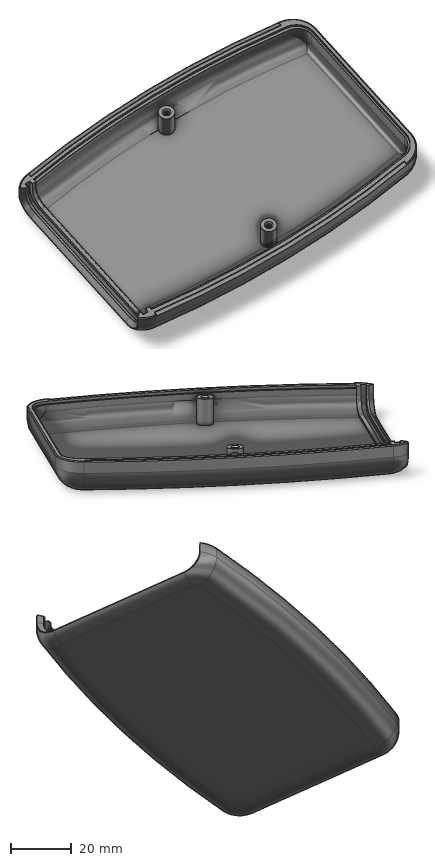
import cadquery as cq
import math

half_width = 39.5
height = 12.0
back_y = 59.9
front_y = back_y - 117.2

side_radius = 352.9
bow_end_y = 51.3
corner_radius = 9.4
bottom_radius = 7.7
rim_chamfer = 0.4

floor_z = 2.8
side_wall = 4.0
back_wall = 2.2
side_cove_radius = 6.0
back_cove_radius = 2.3
cavity_corner_radius = 5.9
cavity_front_y = -bow_end_y

ledge_depth = 0.9
ledge_side_wall = 2.9
ledge_back_wall = 1.5
ledge_corner_radius = 7.0

band_width = 1.5
band_drop = rim_chamfer

opening_half_width = 31.4
opening_z = 3.5
opening_radius = 5.2
bevel_width = 1.4
bevel_depth = 1.8
slot_half_width = 32.8
slot_z = 2.1
slot_radius = 4.9
slot_front_y = -54.7
slot_back_y = -52.9

post_x = 28.4
post_radius = 5.5 / 2
post_hole_radius = 0.9
post_hole_depth = 7.0
countersink_radius = 1.4
countersink_depth = 0.6

clearance = 11.7


def bowed_plan(side_inset, end_y):
    """Plan with bowed sides, moved in by side_inset, and straight ends at -end_y and end_y."""
    middle_x = half_width - side_inset
    radius = side_radius - side_inset
    end_x = middle_x - radius + math.sqrt(radius**2 - end_y**2)
    return (
        cq.Workplane("XY")
        .moveTo(-end_x, -end_y)
        .lineTo(end_x, -end_y)
        .threePointArc((middle_x, 0), (end_x, end_y))
        .lineTo(-end_x, end_y)
        .threePointArc((-middle_x, 0), (-end_x, -end_y))
        .close()
    )


def behind(y):
    """Large block holding everything behind the plane at y."""
    length = back_y - y + clearance
    return cq.Workplane("XY").box(
        4 * half_width, length, 4 * height, centered=(True, False, True)
    ).translate((0, y, 0))


def u_profile(y, profile_half_width, bottom_z, radius):
    """Front-facing U shape, round at its bottom corners and running up past the rim."""
    top_z = height + clearance
    corner_z = bottom_z + radius
    corner_x = profile_half_width - radius
    return (
        cq.Workplane("XZ", origin=(0, y, 0))
        .moveTo(-corner_x, bottom_z)
        .lineTo(corner_x, bottom_z)
        .radiusArc((profile_half_width, corner_z), -radius)
        .lineTo(profile_half_width, top_z)
        .lineTo(-profile_half_width, top_z)
        .lineTo(-profile_half_width, corner_z)
        .radiusArc((-corner_x, bottom_z), -radius)
        .close()
    )


def make_outer():
    body = bowed_plan(0, back_y).extrude(height)
    body = body.edges("|Z").fillet(corner_radius)
    body = body.faces("<Z").edges().fillet(bottom_radius)
    body = body.faces(">Z").edges().chamfer(rim_chamfer)
    return body.intersect(behind(front_y))


def make_cavity():
    depth = height - floor_z + clearance
    trough = bowed_plan(side_wall, back_y).extrude(depth)
    trough = trough.faces("<Z").edges("not |X").fillet(side_cove_radius)
    back_limit = (
        cq.Workplane("XY")
        .box(4 * half_width, 2 * (back_y - back_wall), depth, centered=(True, True, False))
        .edges("<Z and >Y")
        .fillet(back_cove_radius)
    )
    plan_limit = bowed_plan(side_wall, back_y - back_wall).extrude(depth)
    plan_limit = plan_limit.edges("|Z").fillet(cavity_corner_radius)
    cavity = trough.intersect(back_limit).intersect(plan_limit)
    return cavity.translate((0, 0, floor_z)).intersect(behind(cavity_front_y))


def make_ledge():
    ledge = bowed_plan(ledge_side_wall, back_y - ledge_back_wall).extrude(clearance)
    ledge = ledge.edges("|Z").fillet(ledge_corner_radius)
    return ledge.translate((0, 0, height - ledge_depth)).intersect(behind(cavity_front_y))


def make_band():
    """Strip along the outer edge of both sides, between the corners."""
    strip = cq.Workplane("XY").box(
        4 * half_width, 2 * bow_end_y, clearance, centered=(True, True, False)
    )
    strip = strip.cut(bowed_plan(band_width, back_y).extrude(clearance))
    return strip.translate((0, 0, height - band_drop))


def make_opening_cutters():
    """Opening through the front lip and the bevel that widens it toward the outside."""
    opening = u_profile(front_y, opening_half_width, opening_z, opening_radius).extrude(
        front_y - cavity_front_y
    )
    bevel = u_profile(
        front_y,
        opening_half_width + bevel_width,
        opening_z - bevel_width,
        opening_radius + bevel_width,
    ).extrude(-bevel_depth, taper=math.degrees(math.atan2(bevel_width, bevel_depth)))
    return opening, bevel


def make_slot():
    return u_profile(slot_front_y, slot_half_width, slot_z, slot_radius).extrude(
        slot_front_y - slot_back_y
    )


def make_shell():
    shell = make_outer().cut(make_cavity()).cut(make_ledge()).cut(make_band())
    for cutter in make_opening_cutters():
        shell = shell.cut(cutter)
    return shell.cut(make_slot())


def make_post(x, shell):
    """Post standing on the floor, its foot shaped to the hollow beside the floor."""
    post = (
        cq.Workplane("XY", origin=(x, 0, floor_z))
        .circle(post_radius)
        .extrude(height - floor_z)
    )
    hole = (
        cq.Workplane("XZ", origin=(x, 0, height))
        .moveTo(0, 0)
        .lineTo(countersink_radius, 0)
        .lineTo(post_hole_radius, -countersink_depth)
        .lineTo(post_hole_radius, -post_hole_depth)
        .lineTo(0, -post_hole_depth)
        .close()
        .revolve(360, (0, 0, 0), (0, 1, 0))
    )
    return post.cut(hole).cut(shell)


shell = make_shell()
posts = [make_post(x, shell) for x in (-post_x, post_x)]
result = cq.Compound.makeCompound([shell.val(), *[post.val() for post in posts]])